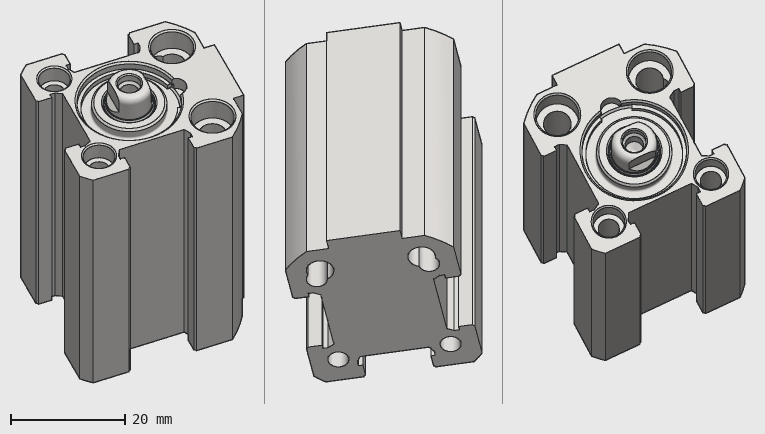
import cadquery as cq
import math

TOTAL_HEIGHT = 56.5
ROD_PROJECTION = 4.5
HOUSING_TOP = TOTAL_HEIGHT - ROD_PROJECTION

HALF_WIDTH = 30.0 / 2
BACK_Y = 19.0
BOSS_HALF_WIDTH = 6.55
SHOULDER_Y = 17.0
CORNER_RADIUS = 20.0
FRONT_Y = BACK_Y - 34.0
SLOT_HALF_MOUTH = 6.05
SLOT_MOUTH_ROUND = 0.35
SLOT_HALF_UNDERCUT = 6.85
SLOT_HALF_FLOOR = 6.15
SLOT_LIP = 2.9
SLOT_DEPTH = 5.0
SLOT_SLOPE_DEPTH = 1.2

BOLT_PITCH = 20.0
BOLT_DIAMETER = 3.7
FRONT_CBORE_DIAMETER = 5.6
FRONT_CBORE_RIM = 6.15
FRONT_CBORE_DEPTH = 3.5
REAR_HOLE_X = 9.05
REAR_HOLE_Y = 12.0
REAR_HOLE_DIAMETER = 4.8
REAR_CBORE_DIAMETER = 7.55
REAR_CBORE_RIM = 8.2
REAR_CBORE_DEPTH = 4.5

ENTRY_DIAMETER = 18.3
BORE_DIAMETER = 17.9
GROOVE_DIAMETER = 19.0
RING_INNER_DIAMETER = 16.95
RING_DEPTH = 1.6
RING_THICKNESS = 1.0
RING_GAP_START = 66.0
RING_GAP_END = 105.0
NOTCH_DIAMETER = 3.9
NOTCH_Y = 8.8

COVER_LENGTH = 10.0
COVER_COLLAR_DIAMETER = 13.2
COVER_COLLAR_DEPTH = 0.4
COVER_EDGE = 0.4
WIPER_DIAMETER = 9.2
WIPER_SEAT_RIM = 9.7
WIPER_DEPTH = 0.5
WIPER_LENGTH = 3.0
WIPER_LIP_DIAMETER = 8.4
WIPER_LIP_FOOT_DIAMETER = 8.8
WIPER_LIP_DEPTH = 0.1

ROD_DIAMETER = 8.0
ROD_TOP_FILLET = 1.3
FLAT_HALF_WIDTH = 3.05
FLAT_LENGTH = 3.5
CENTRE_RIM = 4.65
CENTRE_CBORE_DIAMETER = 4.2
CENTRE_CBORE_DEPTH = 1.6
CENTRE_DRILL_DIAMETER = 3.2
CENTRE_DRILL_DEPTH = 4.5
DRILL_POINT_ANGLE = 118.0

FLANGE_Z = HOUSING_TOP - RING_DEPTH - RING_THICKNESS
RING_TOP = HOUSING_TOP - RING_DEPTH
COVER_BOTTOM = HOUSING_TOP - COVER_LENGTH
COLLAR_TOP = HOUSING_TOP - COVER_COLLAR_DEPTH
WIPER_SHOULDER = COLLAR_TOP - WIPER_DEPTH
WIPER_LIP_TOP = COLLAR_TOP - WIPER_LIP_DEPTH
WIPER_BOTTOM = WIPER_SHOULDER - WIPER_LENGTH


def cylinder(diameter, bottom, top, x=0.0, y=0.0):
    return cq.Workplane("XY", origin=(x, y, bottom)).circle(diameter / 2).extrude(top - bottom)


def revolved(profile):
    """Turn a closed (radius, height) profile about the rod axis."""
    return cq.Workplane("XZ").polyline(profile).close().revolve(360, (0, 0, 0), (0, 1, 0))


def cone(bottom_diameter, top_diameter, bottom, top, x=0.0, y=0.0):
    profile = [(0, bottom), (bottom_diameter / 2, bottom), (top_diameter / 2, top), (0, top)]
    return revolved(profile).translate((x, y, 0))


def rim_chamfer(diameter, rim_diameter, top, x=0.0, y=0.0):
    """45 degree cutter that widens a hole to rim_diameter at its top edge."""
    return cone(diameter, rim_diameter, top - (rim_diameter - diameter) / 2, top, x, y)


def t_slot():
    """T-slot cutter open towards -Y, with its mouth on the front face."""
    lip_y = FRONT_Y + SLOT_LIP
    floor_y = FRONT_Y + SLOT_DEPTH
    half = (
        cq.Workplane("XY")
        .moveTo(0, FRONT_Y)
        .lineTo(SLOT_HALF_MOUTH + SLOT_MOUTH_ROUND, FRONT_Y)
        .radiusArc((SLOT_HALF_MOUTH, FRONT_Y + SLOT_MOUTH_ROUND), -SLOT_MOUTH_ROUND)
        .lineTo(SLOT_HALF_MOUTH, lip_y)
        .lineTo(SLOT_HALF_UNDERCUT, lip_y)
        .lineTo(SLOT_HALF_UNDERCUT, floor_y - SLOT_SLOPE_DEPTH)
        .lineTo(SLOT_HALF_FLOOR, floor_y)
        .lineTo(0, floor_y)
        .close()
        .extrude(HOUSING_TOP)
    )
    return half.union(half.mirror("YZ"))


def housing_blank():
    """Extruded outline whose corners lie on one circle about the rod axis."""
    front_x = math.sqrt(CORNER_RADIUS**2 - FRONT_Y**2)
    side_y = math.sqrt(CORNER_RADIUS**2 - HALF_WIDTH**2)
    shoulder_x = math.sqrt(CORNER_RADIUS**2 - SHOULDER_Y**2)
    half = (
        cq.Workplane("XY")
        .moveTo(0, FRONT_Y)
        .lineTo(front_x, FRONT_Y)
        .radiusArc((HALF_WIDTH, -side_y), -CORNER_RADIUS)
        .lineTo(HALF_WIDTH, side_y)
        .radiusArc((shoulder_x, SHOULDER_Y), -CORNER_RADIUS)
        .lineTo(BOSS_HALF_WIDTH, SHOULDER_Y)
        .lineTo(BOSS_HALF_WIDTH, BACK_Y)
        .lineTo(0, BACK_Y)
        .close()
        .extrude(HOUSING_TOP)
    )
    return half.union(half.mirror("YZ"))


def front_bolt_hole(x, y):
    hole = cylinder(BOLT_DIAMETER, 0, HOUSING_TOP, x, y)
    cbore = cylinder(FRONT_CBORE_DIAMETER, HOUSING_TOP - FRONT_CBORE_DEPTH, HOUSING_TOP, x, y)
    return hole.union(cbore).union(rim_chamfer(FRONT_CBORE_DIAMETER, FRONT_CBORE_RIM, HOUSING_TOP, x, y))


def rear_hole(side):
    """Counterbored hole overlapped by the through bolt hole at the bolt pitch."""
    x = side * REAR_HOLE_X
    hole = cylinder(REAR_HOLE_DIAMETER, 0, HOUSING_TOP, x, REAR_HOLE_Y)
    bolt = cylinder(BOLT_DIAMETER, 0, HOUSING_TOP - REAR_CBORE_DEPTH, side * BOLT_PITCH / 2, BOLT_PITCH / 2)
    cbore = cylinder(REAR_CBORE_DIAMETER, HOUSING_TOP - REAR_CBORE_DEPTH, HOUSING_TOP, x, REAR_HOLE_Y)
    rim = rim_chamfer(REAR_CBORE_DIAMETER, REAR_CBORE_RIM, HOUSING_TOP, x, REAR_HOLE_Y)
    return hole.union(bolt).union(cbore).union(rim)


def bore_cutter():
    """Cover bore with its top chamfer and the ring groove, whose lower side slopes at 45 degrees."""
    bore_radius = BORE_DIAMETER / 2
    groove_radius = GROOVE_DIAMETER / 2
    entry_radius = ENTRY_DIAMETER / 2
    return revolved([
        (0, COVER_BOTTOM),
        (bore_radius, COVER_BOTTOM),
        (bore_radius, FLANGE_Z - (groove_radius - bore_radius)),
        (groove_radius, FLANGE_Z),
        (groove_radius, RING_TOP),
        (entry_radius, RING_TOP),
        (entry_radius, HOUSING_TOP - (groove_radius - entry_radius)),
        (groove_radius, HOUSING_TOP),
        (0, HOUSING_TOP),
    ])


def make_housing():
    body = housing_blank()
    for angle in (0, 90, -90):
        body = body.cut(t_slot().rotate((0, 0, 0), (0, 0, 1), angle))
    for side in (-1, 1):
        body = body.cut(front_bolt_hole(side * BOLT_PITCH / 2, -BOLT_PITCH / 2))
        body = body.cut(rear_hole(side))
    body = body.cut(bore_cutter())
    return body.cut(cylinder(NOTCH_DIAMETER, FLANGE_Z, HOUSING_TOP, 0, NOTCH_Y))


def make_retaining_ring():
    ring = cylinder(GROOVE_DIAMETER, FLANGE_Z, RING_TOP).cut(cylinder(RING_INNER_DIAMETER, FLANGE_Z, RING_TOP))
    reach = GROOVE_DIAMETER
    corners = [(0, 0)]
    for angle in (RING_GAP_START, RING_GAP_END):
        turn = math.radians(angle)
        corners.append((reach * math.cos(turn), reach * math.sin(turn)))
    gap = cq.Workplane("XY", origin=(0, 0, FLANGE_Z)).polyline(corners).close().extrude(RING_THICKNESS)
    return ring.cut(gap)


def make_rod_cover():
    collar_radius = COVER_COLLAR_DIAMETER / 2
    bore_radius = BORE_DIAMETER / 2
    profile = (
        cq.Workplane("XZ")
        .moveTo(0, COVER_BOTTOM)
        .lineTo(bore_radius, COVER_BOTTOM)
        .lineTo(bore_radius, FLANGE_Z)
        .lineTo(collar_radius + COVER_EDGE, FLANGE_Z)
        .radiusArc((collar_radius, FLANGE_Z + COVER_EDGE), COVER_EDGE)
        .lineTo(collar_radius, COLLAR_TOP - COVER_EDGE)
        .lineTo(collar_radius - COVER_EDGE, COLLAR_TOP)
        .lineTo(0, COLLAR_TOP)
        .close()
    )
    cover = profile.revolve(360, (0, 0, 0), (0, 1, 0))
    cover = cover.cut(cylinder(ROD_DIAMETER, COVER_BOTTOM, COLLAR_TOP))
    cover = cover.cut(cylinder(WIPER_DIAMETER, WIPER_BOTTOM, COLLAR_TOP))
    return cover.cut(rim_chamfer(WIPER_DIAMETER, WIPER_SEAT_RIM, COLLAR_TOP))


def make_wiper():
    """Rod seal whose tapered lip rises around the rod almost to the collar top."""
    return revolved([
        (ROD_DIAMETER / 2, WIPER_BOTTOM),
        (WIPER_DIAMETER / 2, WIPER_BOTTOM),
        (WIPER_DIAMETER / 2, WIPER_SHOULDER),
        (WIPER_LIP_FOOT_DIAMETER / 2, WIPER_SHOULDER),
        (WIPER_LIP_DIAMETER / 2, WIPER_LIP_TOP),
        (ROD_DIAMETER / 2, WIPER_LIP_TOP),
    ])


def centre_hole():
    """Stepped centre hole in the rod end with a conical bottom."""
    drill_radius = CENTRE_DRILL_DIAMETER / 2
    cbore_radius = CENTRE_CBORE_DIAMETER / 2
    rim_radius = CENTRE_RIM / 2
    drill_bottom = TOTAL_HEIGHT - CENTRE_DRILL_DEPTH
    cbore_bottom = TOTAL_HEIGHT - CENTRE_CBORE_DEPTH
    return revolved([
        (0, drill_bottom - drill_radius / math.tan(math.radians(DRILL_POINT_ANGLE / 2))),
        (drill_radius, drill_bottom),
        (drill_radius, cbore_bottom - (cbore_radius - drill_radius)),
        (cbore_radius, cbore_bottom),
        (cbore_radius, TOTAL_HEIGHT - (rim_radius - cbore_radius)),
        (rim_radius, TOTAL_HEIGHT),
        (0, TOTAL_HEIGHT),
    ])


def flat_cutter():
    """Removes the rod outside one wrench flat and runs out at 45 degrees."""
    flat_bottom = TOTAL_HEIGHT - FLAT_LENGTH
    reach = ROD_DIAMETER - FLAT_HALF_WIDTH
    profile = [
        (FLAT_HALF_WIDTH, TOTAL_HEIGHT),
        (FLAT_HALF_WIDTH, flat_bottom),
        (FLAT_HALF_WIDTH + reach, flat_bottom - reach),
        (FLAT_HALF_WIDTH + reach, TOTAL_HEIGHT),
    ]
    return cq.Workplane("YZ").polyline(profile).close().extrude(ROD_DIAMETER / 2, both=True)


def make_rod():
    rod = cylinder(ROD_DIAMETER, COVER_BOTTOM, TOTAL_HEIGHT).faces(">Z").edges().fillet(ROD_TOP_FILLET)
    rod = rod.cut(flat_cutter()).cut(flat_cutter().mirror("XZ"))
    return rod.cut(centre_hole())


housing = make_housing()
retaining_ring = make_retaining_ring()
rod_cover = make_rod_cover()
wiper = make_wiper()
rod = make_rod()

result = cq.Compound.makeCompound(
    [housing.val(), retaining_ring.val(), rod_cover.val(), wiper.val(), rod.val()]
)